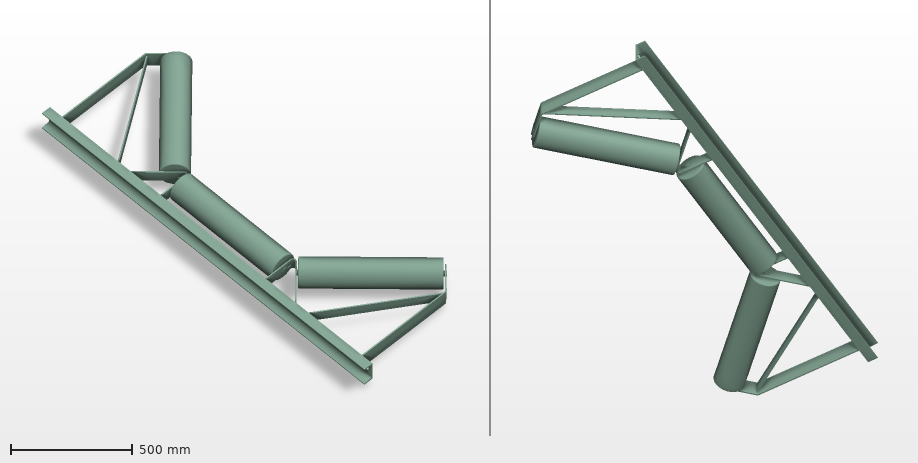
import cadquery as cq
import math


beam_length = 1900.0
beam_width = 100.0
flange_height = 46.0
web_thickness = 4.5
flange_thickness = 7.6
flange_slope = 0.1
root_radius = 7.0
mount_slot_inset = 28.0
mount_slot_width = 17.0
mount_slot_length = 28.0

roller_diameter = 133.0
roller_length = 600.0
roller_edge_radius = 5.0
shaft_diameter = 25.0
shaft_flat_width = 18.0
shaft_reach = 14.0
middle_roller_height = 120.0
side_roller_tilt = 45.0
side_roller_x = 575.3
overall_height = 661.79

outer_plate_width = 75.0
inner_plate_width = 55.0
plate_thickness = 6.0
plate_gap = 6.0
bend_inner_radius = 10.0
tip_taper_length = 30.0
tip_taper_inset = 14.0
slot_reach = 60.0
outer_tip = 30.0
outer_post_x = -883.0
brace_foot_x = -556.0
brace_width = 50.0

roller_radius = roller_diameter / 2
tilt = math.radians(side_roller_tilt)
along_x = math.cos(tilt)
along_y = math.sin(tilt)
outer_edge_rise = (
    (roller_length / 2 - roller_edge_radius) * along_y
    + (roller_radius - roller_edge_radius) * along_x
    + roller_edge_radius
)
middle_roller_y = flange_height + middle_roller_height
side_roller_y = overall_height - outer_edge_rise

plate_near = roller_length / 2 + plate_gap
plate_far = plate_near + plate_thickness
post_outside = outer_post_x - plate_thickness / 2
post_inside = outer_post_x + plate_thickness / 2


def tilted_point(along, across):
    """Point of the left side roller's frame: along its axis outwards, across it upwards."""
    return (
        -side_roller_x - along * along_x + across * along_y,
        side_roller_y + along * along_y + across * along_x,
    )


def mirrored(body):
    """Copy a left-hand body to the right-hand side."""
    return body.mirror("YZ")


def tilted(body):
    """Move a body built about the origin along X onto the left side roller's axis."""
    turned = body.rotate((0, 0, 0), (0, 0, 1), -side_roller_tilt)
    return turned.translate((-side_roller_x, side_roller_y, 0))


def make_beam():
    """Channel with tapered flanges pointing down and a mounting slot through the web at each end."""
    half_width = beam_width / 2
    flange_mean = (flange_height + web_thickness) / 2
    root_thickness = flange_thickness + flange_slope * (flange_mean - web_thickness)
    tip_thickness = flange_thickness - flange_slope * (flange_height - flange_mean)
    web_face = flange_height - web_thickness
    profile_bar = (
        cq.Workplane("YZ")
        .polyline([
            (flange_height, -half_width),
            (flange_height, half_width),
            (0, half_width),
            (0, half_width - tip_thickness),
            (web_face, half_width - root_thickness),
            (web_face, root_thickness - half_width),
            (0, tip_thickness - half_width),
            (0, -half_width),
        ])
        .close()
        .extrude(beam_length)
        .translate((-beam_length / 2, 0, 0))
    )
    inner_corners = cq.selectors.BoxSelector(
        (-beam_length, web_face / 2, tip_thickness - half_width),
        (beam_length, (web_face + flange_height) / 2, half_width - tip_thickness),
    )
    rounded_bar = profile_bar.edges(inner_corners).edges("|X").fillet(root_radius)
    slot_x = beam_length / 2 - mount_slot_inset
    slots = (
        cq.Workplane("XZ")
        .pushPoints([(-slot_x, 0), (slot_x, 0)])
        .slot2D(mount_slot_length, mount_slot_width, 90)
        .extrude(-flange_height)
    )
    return rounded_bar.cut(slots)


def cylinder_along_x(radius, length):
    return cq.Workplane("YZ").workplane(offset=-length / 2).circle(radius).extrude(length)


def make_roller():
    """Roller along X about the origin, with flats on the shaft ends."""
    shell = cylinder_along_x(roller_radius, roller_length).edges("%CIRCLE").fillet(roller_edge_radius)
    shaft_length = roller_length + 2 * shaft_reach
    shaft = cylinder_along_x(shaft_diameter / 2, shaft_length)
    flats = cq.Workplane("XY").box(shaft_length, shaft_diameter, shaft_flat_width)
    return shell.union(shaft.intersect(flats))


def plate_from(points, width):
    """Bent plate: its side outline in XY, centred across Z."""
    return cq.Workplane("XY").workplane(offset=-width / 2).polyline(points).close().extrude(width)


def round_bend(plate, inside, outside):
    """Round the bend of a plate whose sharp inside and outside corners are given."""
    bend_radii = ((inside, bend_inner_radius), (outside, bend_inner_radius + plate_thickness))
    for corner, radius in bend_radii:
        edge = plate.edges("|Z").edges(cq.selectors.NearestToPointSelector((corner[0], corner[1], 0)))
        plate = edge.fillet(radius)
    return plate


def shaft_slot(near, far, reach):
    """Cutter for an open slot about the X axis between two planes, open upwards (+Y)."""
    bottom = -shaft_diameter / 2
    return (
        cq.Workplane("XY")
        .box(far - near, reach - bottom, shaft_flat_width)
        .translate(((near + far) / 2, (reach + bottom) / 2, 0))
    )


def tilted_at_x(along, x):
    """Point at a given X on the plane square to the left side roller's axis."""
    return tilted_point(along, (x + side_roller_x + along * along_x) / along_y)


def tilted_at_y(along, y):
    """Point at a given Y on the plane square to the left side roller's axis."""
    return tilted_point(along, (y - side_roller_y - along * along_y) / along_x)



def tip_tapers():
    """Cutter for both tapered corners of the outer bracket's tip, in the roller's own frame."""
    half_width = outer_plate_width / 2
    corner = (
        cq.Workplane("YZ")
        .workplane(offset=-plate_far)
        .polyline([
            (outer_tip - tip_taper_length, half_width),
            (outer_tip, half_width - tip_taper_inset),
            (outer_tip, half_width),
        ])
        .close()
        .extrude(plate_thickness)
    )
    return corner.union(corner.mirror("XY"))


def make_outer_bracket():
    """Left end post, bent over to hold the outer end of the side roller."""
    outside_bend = tilted_at_x(plate_far, post_outside)
    inside_bend = tilted_at_x(plate_near, post_inside)
    outline = [
        (post_outside, flange_height),
        outside_bend,
        tilted_point(plate_far, outer_tip),
        tilted_point(plate_near, outer_tip),
        inside_bend,
        (post_inside, flange_height),
    ]
    bracket = round_bend(plate_from(outline, outer_plate_width), inside_bend, outside_bend)
    bracket = bracket.cut(tilted(tip_tapers()))
    return bracket.cut(tilted(shaft_slot(-plate_far, -plate_near, slot_reach)))


def make_inner_bracket():
    """Left inner plate, folded over between legs that hold the middle roller and the side roller."""
    outside_bend = tilted_at_x(-plate_near, -plate_near)
    inside_bend = tilted_at_x(-plate_far, -plate_far)
    outline = [
        (-plate_near, flange_height),
        outside_bend,
        tilted_at_y(-plate_near, flange_height),
        tilted_at_y(-plate_far, flange_height),
        inside_bend,
        (-plate_far, flange_height),
    ]
    bracket = round_bend(plate_from(outline, inner_plate_width), inside_bend, outside_bend)
    middle_slot = shaft_slot(-plate_far, -plate_near, slot_reach).translate((0, middle_roller_y, 0))
    side_slot = tilted(shaft_slot(plate_near, plate_far, slot_reach))
    return bracket.cut(middle_slot).cut(side_slot)


def make_brace(outer_bracket):
    """Left diagonal flat bar from the beam up into the bend of the outer bracket, fitted to it."""
    corner_x, corner_y = tilted_at_x(plate_near, post_inside)
    slope = (corner_y - flange_height) / (brace_foot_x - corner_x)
    foot_span = plate_thickness / math.sin(math.atan(slope))
    face_slope = along_x / along_y
    top_run = slope * foot_span / (slope + face_slope)
    outline = [
        (brace_foot_x, flange_height),
        (brace_foot_x + foot_span, flange_height),
        (corner_x + top_run, corner_y + top_run * face_slope),
        (corner_x, corner_y),
    ]
    return plate_from(outline, brace_width).cut(outer_bracket)


beam = make_beam()
middle_roller = make_roller().translate((0, middle_roller_y, 0))
left_roller = tilted(make_roller())
left_outer_bracket = make_outer_bracket()
left_inner_bracket = make_inner_bracket()
left_brace = make_brace(left_outer_bracket)
left_bodies = [left_roller, left_outer_bracket, left_inner_bracket, left_brace]
right_bodies = [mirrored(body) for body in left_bodies]
bodies = [beam, middle_roller] + left_bodies + right_bodies
result = cq.Compound.makeCompound([body.val() for body in bodies])